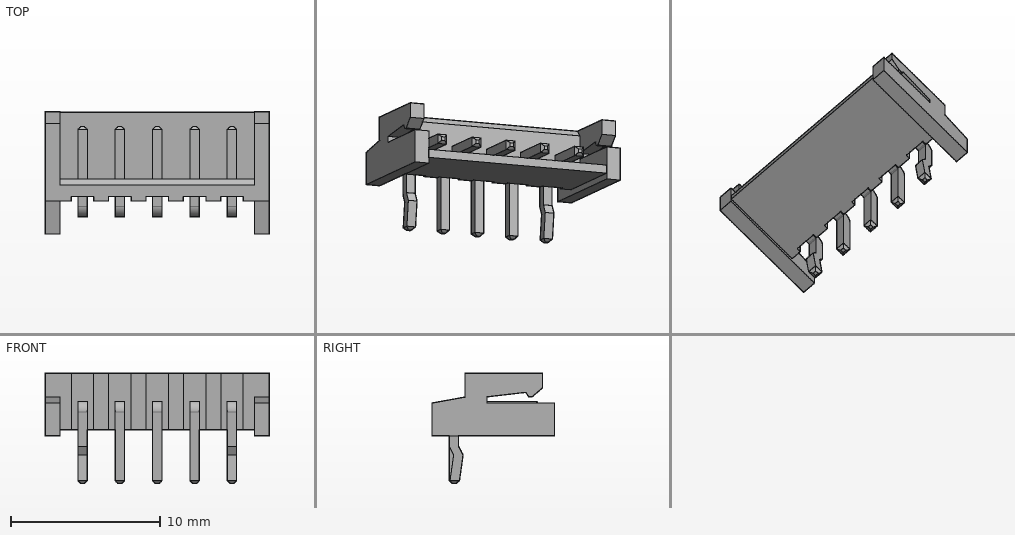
import cadquery as cq


pin_count = 5
pitch = 2.5
pin_size = 0.64
tip_taper = 0.2
row_start = -pitch * (pin_count - 1) / 2
pin_positions = [row_start + pitch * i for i in range(pin_count)]

end_margin = 2.5
housing_width = pitch * (pin_count - 1) + 2 * end_margin
plate_thickness = 1.0
plate_length = 8.2
plate_height = 2.2
housing_height = 4.2
wall_front = 2.2
wall_back = 3.69
shoulder_height = 2.6
inner_width = housing_width - 2 * plate_thickness

arm_end = 7.4
arm_tip_height = 3.2
arm_root_height = 2.6
arm_notch_height = 2.9
hook_height = 2.6
hook_flat_end = 6.7
hook_flat_start = 6.47
hook_notch = 6.28

floor_back = 8.17
floor_bottom = 0.4
floor_top = 0.95
wall_chamfer = 0.4

recess_width = 1.5
recess_depth = 0.3

pin_top = 2.31
pin_bottom = -3.2
pin_front = 1.15
pin_back = 7.2
bend_inner_radius = 0.06
bend_outer_radius = bend_inner_radius + pin_size

kink_start = -0.7
kink_peak = -1.28
kink_offset = 0.3
kink_tip_offset = 0.03


def extrude_along_x(outline, center_x, width):
    """Solid with the given (Y, Z) outline, centred on center_x."""
    profile = cq.Workplane("YZ").polyline(outline).close()
    return profile.extrude(width / 2, both=True).translate((center_x, 0, 0))


def end_plate(side):
    """Side plate with sloped leg and hooked latch arm; side is -1 or +1."""
    outline = [
        (0, 0),
        (plate_length, 0),
        (plate_length, plate_height),
        (wall_back, plate_height),
        (wall_back, arm_root_height),
        (hook_notch, arm_notch_height),
        (hook_flat_start, hook_height),
        (hook_flat_end, hook_height),
        (arm_end, arm_tip_height),
        (arm_end, housing_height),
        (wall_front, housing_height),
        (wall_front, shoulder_height),
        (0, plate_height),
    ]
    center_x = side * (housing_width - plate_thickness) / 2
    return extrude_along_x(outline, center_x, plate_thickness)


def center_body():
    """L-shaped floor and front wall, with the inner top edge of the wall chamfered."""
    outline = [
        (wall_front, floor_bottom),
        (floor_back, floor_bottom),
        (floor_back, floor_top),
        (wall_back, floor_top),
        (wall_back, housing_height - wall_chamfer),
        (wall_back - wall_chamfer, housing_height),
        (wall_front, housing_height),
    ]
    return extrude_along_x(outline, 0, inner_width)


def wall_recess(x):
    """Full-height cutter for the shallow recess around one pin."""
    return cq.Workplane("XY").box(
        recess_width, recess_depth, housing_height, centered=(True, False, False)
    ).translate((x, wall_front, 0))


def pin(x, kinked):
    """Right-angle square pin with tapered ends; a kinked tail bulges towards +Y."""
    tail_back = pin_front + pin_size
    bend_z = pin_top - bend_outer_radius
    bend_y = pin_front + bend_outer_radius
    profile = (
        cq.Workplane("YZ")
        .moveTo(pin_back, pin_top)
        .lineTo(bend_y, pin_top)
        .radiusArc((pin_front, bend_z), -bend_outer_radius)
    )
    if kinked:
        profile = (
            profile.lineTo(pin_front, kink_start)
            .lineTo(pin_front + kink_offset, kink_peak)
            .lineTo(pin_front + kink_tip_offset, pin_bottom)
            .lineTo(tail_back + kink_tip_offset, pin_bottom)
            .lineTo(tail_back + kink_offset, kink_peak)
            .lineTo(tail_back, kink_start)
        )
    else:
        profile = profile.lineTo(pin_front, pin_bottom).lineTo(tail_back, pin_bottom)
    body = (
        profile.lineTo(tail_back, bend_z)
        .radiusArc((bend_y, pin_top - pin_size), bend_inner_radius)
        .lineTo(pin_back, pin_top - pin_size)
        .close()
        .extrude(pin_size / 2, both=True)
    )
    return body.faces("<Z or >Y").chamfer(tip_taper).translate((x, 0, 0))


housing = center_body().union(end_plate(-1)).union(end_plate(1))
for x in pin_positions:
    housing = housing.cut(wall_recess(x))

result = housing
for x in pin_positions:
    is_end_pin = x in (pin_positions[0], pin_positions[-1])
    result = result.union(pin(x, is_end_pin))